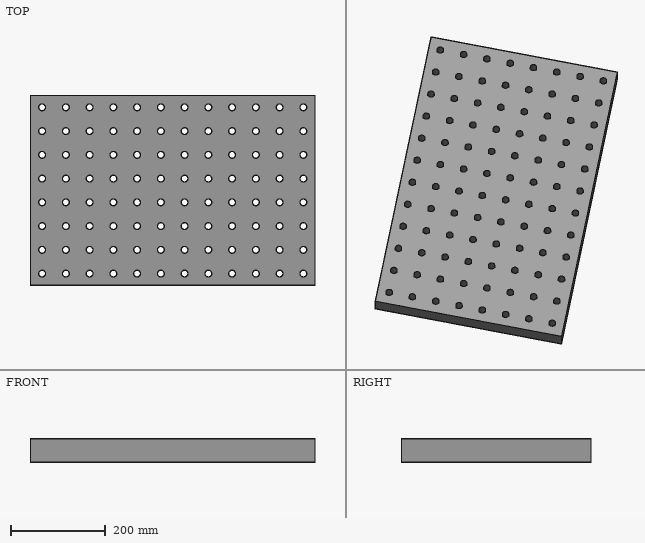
import cadquery as cq

length = 600.0
columns = 12
rows = 8
hole_diameter = 14.0

pitch = length / columns
width = rows * pitch
thickness = pitch

plate = cq.Workplane("XY").box(length, width, thickness)

result = (
    plate.faces(">Z")
    .workplane()
    .rarray(pitch, pitch, columns, rows)
    .hole(hole_diameter)
)